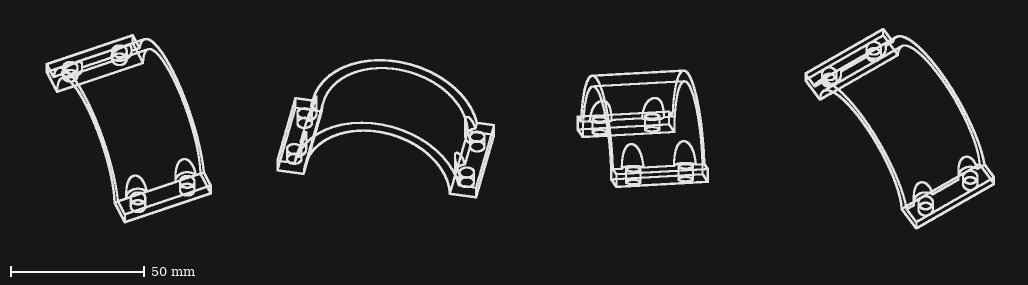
import cadquery as cq

length = 76.05
width = 35.0
height = 31.0

outer_radius = 32.0
wall = 4.0
inner_radius = outer_radius - wall
axis_z = height - outer_radius

flange_thickness = 5.0
hole_diameter = 5.5
hole_spacing_x = 66.0
hole_spacing_y = 20.0
head_clearance_diameter = 9.0


def arch_cylinder(radius):
    """Cylinder along Y on the arch axis, spanning the full width."""
    return (
        cq.Workplane("XZ", origin=(0, 0, axis_z))
        .circle(radius)
        .extrude(width / 2, both=True)
    )


def screw_cylinders(diameter, bottom_z):
    """Vertical cylinders at the four screw positions, up to the arch top."""
    return (
        cq.Workplane("XY", origin=(0, 0, bottom_z))
        .rarray(hole_spacing_x, hole_spacing_y, 2, 2)
        .circle(diameter / 2)
        .extrude(height - bottom_z)
    )


above_base = cq.Workplane("XY").box(length, width, height, centered=(True, True, False))
arch = arch_cylinder(outer_radius).intersect(above_base)

flanges = cq.Workplane("XY").box(length, width, flange_thickness, centered=(True, True, False))
body = arch.union(flanges).cut(arch_cylinder(inner_radius))

body = body.cut(screw_cylinders(hole_diameter, 0))
result = body.cut(screw_cylinders(head_clearance_diameter, flange_thickness))